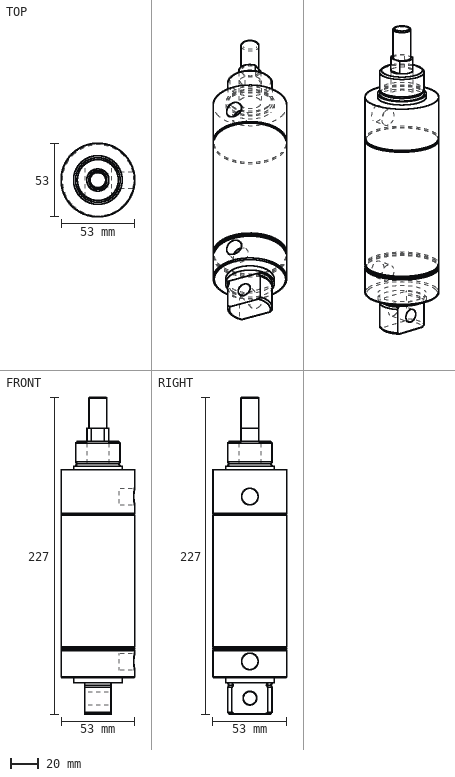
import cadquery as cq

BODY_DIA = 53.0
FLANGE_DIA = 35.0
NOSE_DIA = 32.0
COLLAR_DIA = 16.0
ROD_DIA = 13.0

TANG_TOP = 22.3
BODY_BOTTOM = 26.0
BODY_TOP = 175.0
FLANGE_TOP = 177.5
NOSE_TOP = 195.3
COLLAR_TOP = 204.8
ROD_TOP = 227.0
ROD_BOTTOM = FLANGE_TOP

BODY_CHAMFER = 1.0
NOSE_CHAMFER = 1.4
ROD_CHAMFER = 1.0

JOINT_WIDTH = 1.4
JOINT_DEPTH = 0.7
NECK_WIDTH = 3.2
NECK_DEPTH = 1.0
UPPER_JOINT_Z = 143.0
LOWER_JOINT_Z = 46.8

TANG_THICKNESS = 18.8
PIVOT_HOLE_DIA = 9.5
PIVOT_HOLE_Z = 11.4

PORT_DIA = 11.8
PORT_DEPTH = 11.4
PORT_HEIGHTS = (37.7, 155.8)

FLATS_WIDTH = 13.0


def cylinder(diameter, bottom, top):
    return cq.Workplane("XY").workplane(offset=bottom).circle(diameter / 2).extrude(top - bottom)


def v_groove(diameter, middle, width, depth):
    """Ring of triangular section that cuts a V groove into a cylinder."""
    radius = diameter / 2
    section = [(radius - depth, middle), (radius, middle - width / 2), (radius, middle + width / 2)]
    return cq.Workplane("XZ").polyline(section).close().revolve(360, (0, 0, 0), (0, 1, 0))


def make_tang():
    """Lower nose with two flat sides and a cross hole for the pivot."""
    tang = cylinder(NOSE_DIA, 0, TANG_TOP).faces("<Z").chamfer(NOSE_CHAMFER)
    tang = tang.cut(v_groove(NOSE_DIA, TANG_TOP - NECK_WIDTH / 2, NECK_WIDTH, NECK_DEPTH))
    tang = tang.intersect(cq.Workplane("XY").box(TANG_THICKNESS, NOSE_DIA, 2 * TANG_TOP))
    pivot_hole = (
        cq.Workplane("YZ")
        .center(0, PIVOT_HOLE_Z)
        .circle(PIVOT_HOLE_DIA / 2)
        .extrude(TANG_THICKNESS, both=True)
    )
    return tang.cut(pivot_hole)


def make_nose():
    """Threaded upper nose, shown as a plain cylinder, with a groove at its foot."""
    nose = cylinder(NOSE_DIA, FLANGE_TOP, NOSE_TOP).faces(">Z").chamfer(NOSE_CHAMFER)
    return nose.cut(v_groove(NOSE_DIA, FLANGE_TOP + NECK_WIDTH / 2, NECK_WIDTH, NECK_DEPTH))


def make_barrel():
    """Cylinder tube with its end heads, joint grooves and air ports."""
    barrel = cylinder(BODY_DIA, BODY_BOTTOM, BODY_TOP).faces("<Z").chamfer(BODY_CHAMFER)

    joint_heights = (UPPER_JOINT_Z, LOWER_JOINT_Z - JOINT_WIDTH / 2, LOWER_JOINT_Z + JOINT_WIDTH / 2)
    for height in joint_heights:
        barrel = barrel.cut(v_groove(BODY_DIA, height, JOINT_WIDTH, JOINT_DEPTH))

    for height in PORT_HEIGHTS:
        port = (
            cq.Workplane("YZ")
            .workplane(offset=BODY_DIA / 2 - PORT_DEPTH)
            .center(0, height)
            .circle(PORT_DIA / 2)
            .extrude(PORT_DEPTH)
        )
        barrel = barrel.cut(port)
    return barrel


def make_housing():
    lower_flange = cylinder(FLANGE_DIA, TANG_TOP, BODY_BOTTOM)
    upper_flange = cylinder(FLANGE_DIA, BODY_TOP, FLANGE_TOP)
    housing = make_barrel().union(lower_flange).union(upper_flange).union(make_tang()).union(make_nose())
    rod_bore = cylinder(COLLAR_DIA, ROD_BOTTOM, NOSE_TOP)
    return housing.cut(rod_bore)


def make_rod():
    """Piston rod seated in the nose bore, with wrench flats facing -Y and +Y above the nose."""
    seat = cylinder(COLLAR_DIA, ROD_BOTTOM, NOSE_TOP)
    collar = cylinder(COLLAR_DIA, NOSE_TOP, COLLAR_TOP)
    collar = collar.intersect(cq.Workplane("XY").box(COLLAR_DIA, FLATS_WIDTH, 2 * ROD_TOP))
    shank = cylinder(ROD_DIA, COLLAR_TOP, ROD_TOP).faces(">Z").chamfer(ROD_CHAMFER)
    return seat.union(collar).union(shank)


housing = make_housing()
rod = make_rod()
result = cq.Compound.makeCompound([housing.val(), rod.val()])